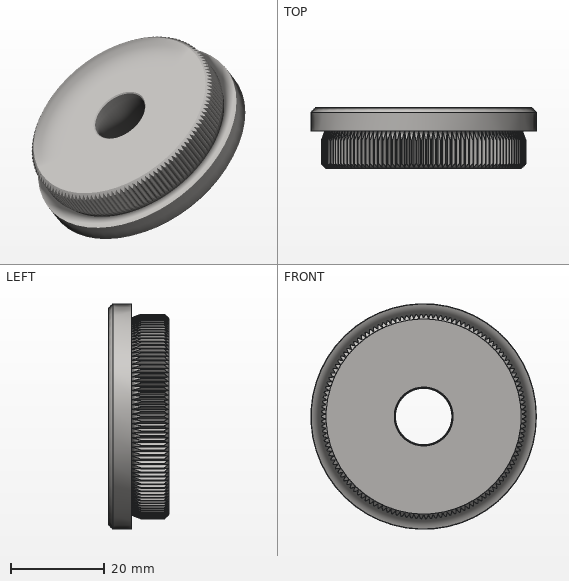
import cadquery as cq
import math

flange_diameter = 48.3
flange_thickness = 5.0
flange_chamfer = 1.0

plug_diameter = 43.8
plug_length = 8.0
plug_chamfer = 1.0
neck_diameter = 42.3
neck_length = 2.0

bore_diameter = 12.1
bore_chamfer = 0.25

groove_count = 130
groove_angle = 60.0
groove_overshoot = 0.5

flange_radius = flange_diameter / 2
plug_radius = plug_diameter / 2
neck_radius = neck_diameter / 2
bore_radius = bore_diameter / 2
groove_root_radius = neck_radius


def turned_body():
    """Flange, tapered neck, chamfered plug and through bore as one revolved profile."""
    return (
        cq.Workplane("XY")
        .moveTo(bore_radius, flange_thickness)
        .lineTo(flange_radius - flange_chamfer, flange_thickness)
        .lineTo(flange_radius, flange_thickness - flange_chamfer)
        .lineTo(flange_radius, 0)
        .lineTo(neck_radius, 0)
        .lineTo(plug_radius, -neck_length)
        .lineTo(plug_radius, -plug_length + plug_chamfer)
        .lineTo(plug_radius - plug_chamfer, -plug_length)
        .lineTo(bore_radius + bore_chamfer, -plug_length)
        .lineTo(bore_radius, -plug_length + bore_chamfer)
        .close()
        .revolve(360, (0, 0, 0), (0, 1, 0))
    )


def knurl_groove():
    """V-shaped cutter along the plug at the +Z side, running from the flange past the end face."""
    top_radius = plug_radius + groove_overshoot
    top_half_width = (top_radius - groove_root_radius) * math.tan(math.radians(groove_angle / 2))
    return (
        cq.Workplane("XZ")
        .moveTo(0, groove_root_radius)
        .lineTo(top_half_width, top_radius)
        .lineTo(-top_half_width, top_radius)
        .close()
        .extrude(plug_length + groove_overshoot)
    )


def knurl_cutter():
    """All knurl grooves, evenly spaced around the Y axis."""
    groove = knurl_groove().val()
    angle_step = 360 / groove_count
    grooves = []
    for index in range(groove_count):
        grooves.append(groove.rotate(cq.Vector(0, 0, 0), cq.Vector(0, 1, 0), index * angle_step))
    return cq.Workplane(cq.Compound.makeCompound(grooves))


result = turned_body().cut(knurl_cutter())